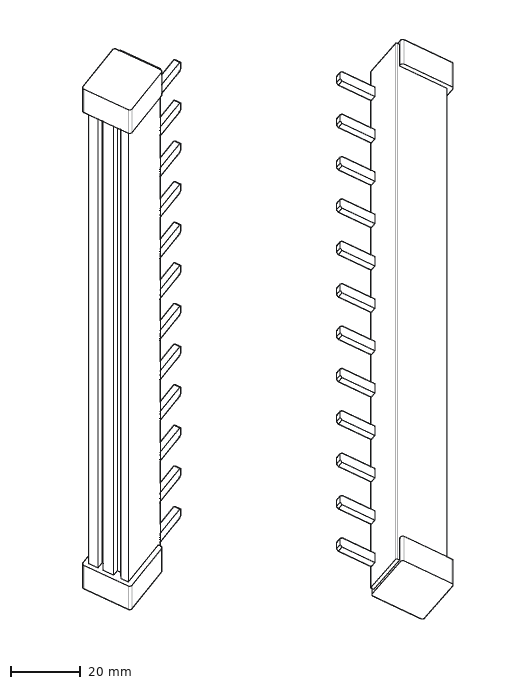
import cadquery as cq

length = 219.0
cap_width = 16.5
cap_depth = 17.7
cap_height = 10.3
cap_edge_radius = 0.77

rail_width = 13.5
rail_offset = -0.1
rail_left = rail_offset - rail_width / 2
rail_front = 1.3
rail_back = 18.8
rail_end_inset = 1.0
rail_edge_radius = 0.5
rail_length = length - 2 * rail_end_inset
rail_bottom = -rail_length / 2

square_slot_left = -3.5
square_slot_right = -1.8
square_slot_depth = 2.2

sloped_slot_left = 1.8
sloped_slot_floor_width = 1.0
sloped_slot_right = 4.2
sloped_slot_depth = 2.0

pin_count = 12
pin_span = 195.8
pin_pitch = pin_span / (pin_count - 1)
pin_height = 4.0
pin_thickness = 2.0
pin_right = 6.4
pin_tip = 30.7
pin_tip_chamfer = 0.7
pin_embed = 2.2


def make_cap(bottom):
    """End cap with its four upright edges rounded."""
    return (
        cq.Workplane("XY", origin=(0, cap_depth / 2, bottom))
        .rect(cap_width, cap_depth)
        .extrude(cap_height)
        .edges("|Z")
        .fillet(cap_edge_radius)
    )


def make_rail():
    """Plain rail with its two left edges rounded."""
    return (
        cq.Workplane("XY")
        .box(rail_width, rail_back - rail_front, rail_length, centered=False)
        .translate((rail_left, rail_front, rail_bottom))
        .edges("|Z and <X")
        .fillet(rail_edge_radius)
    )


def make_square_slot():
    """Cutter for the square slot, over the full rail length."""
    return (
        cq.Workplane("XY")
        .box(square_slot_right - square_slot_left, square_slot_depth, rail_length, centered=False)
        .translate((square_slot_left, rail_front, rail_bottom))
    )


def make_sloped_slot():
    """Cutter for the sloped slot, over the full rail length."""
    floor_y = rail_front + sloped_slot_depth
    floor_right = sloped_slot_left + sloped_slot_floor_width
    return (
        cq.Workplane("XY", origin=(0, 0, rail_bottom))
        .moveTo(sloped_slot_left, rail_front)
        .lineTo(sloped_slot_left, floor_y)
        .lineTo(floor_right, floor_y)
        .lineTo(sloped_slot_right, rail_front)
        .close()
        .extrude(rail_length)
    )


def make_pin(height):
    """Flat pin near the right side of the rail, with bevelled tip corners."""
    pin_root = rail_back - pin_embed
    return (
        cq.Workplane("XY")
        .box(pin_thickness, pin_tip - pin_root, pin_height)
        .edges(">Y and |X")
        .chamfer(pin_tip_chamfer)
        .translate((pin_right - pin_thickness / 2, (pin_tip + pin_root) / 2, height))
    )


result = make_rail().cut(make_square_slot()).cut(make_sloped_slot())
for cap_bottom in (-length / 2, length / 2 - cap_height):
    result = result.union(make_cap(cap_bottom))
for index in range(pin_count):
    result = result.union(make_pin(index * pin_pitch - pin_span / 2))